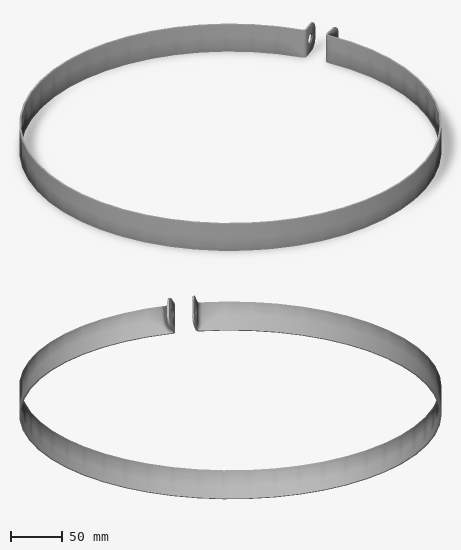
import cadquery as cq
import math

outer_diameter = 412.5
total_length = 437.0
band_width = 30.0
thickness = 1.8
gap_at_ring = 20.5
hole_diameter = 10.5
hole_from_tip = 13.0
ear_corner_radius = 10.0
inner_bend_radius = 2.0

outer_radius = outer_diameter / 2
inner_radius = outer_radius - thickness
outer_bend_radius = inner_bend_radius + thickness
gap_half_angle = math.degrees(math.asin(gap_at_ring / 2 / outer_radius))
tip_radius = (total_length - outer_radius) / math.cos(math.radians(gap_half_angle))


def make_half_ring():
    """Right half of the band, turned so that its free end lies on the +Y axis."""
    sweep = math.radians(180 - gap_half_angle)
    middle = sweep / 2

    def point(radius, angle):
        return radius * math.sin(angle), radius * math.cos(angle)

    return (
        cq.Workplane("XY")
        .workplane(offset=-band_width / 2)
        .moveTo(0, inner_radius)
        .lineTo(0, outer_radius)
        .threePointArc(point(outer_radius, middle), point(outer_radius, sweep))
        .lineTo(*point(inner_radius, sweep))
        .threePointArc(point(inner_radius, middle), (0, inner_radius))
        .close()
        .extrude(band_width)
    )


def make_ear():
    """Radial ear with a rounded tip and a bolt hole, its gap face at X = 0."""
    length = tip_radius - inner_radius
    return (
        cq.Workplane("XY")
        .box(thickness, length, band_width, centered=(False, False, True))
        .translate((0, inner_radius, 0))
        .edges("|X and >Y")
        .fillet(ear_corner_radius)
        .cut(
            cq.Workplane("YZ")
            .center(tip_radius - hole_from_tip, 0)
            .circle(hole_diameter / 2)
            .extrude(thickness)
        )
    )


def make_half_clamp():
    """Half ring and ear joined by a rounded bend, turned to its side of the gap."""
    half = make_half_ring().union(make_ear())
    gap_side_corner = (0, inner_radius, 0)
    inside_corner = (thickness, math.sqrt(outer_radius**2 - thickness**2), 0)
    half = half.edges(cq.NearestToPointSelector(gap_side_corner)).fillet(outer_bend_radius)
    half = half.edges(cq.NearestToPointSelector(inside_corner)).fillet(inner_bend_radius)
    return half.rotate((0, 0, 0), (0, 0, 1), -gap_half_angle)


right_half = make_half_clamp()
result = right_half.union(right_half.mirror("YZ")).clean()